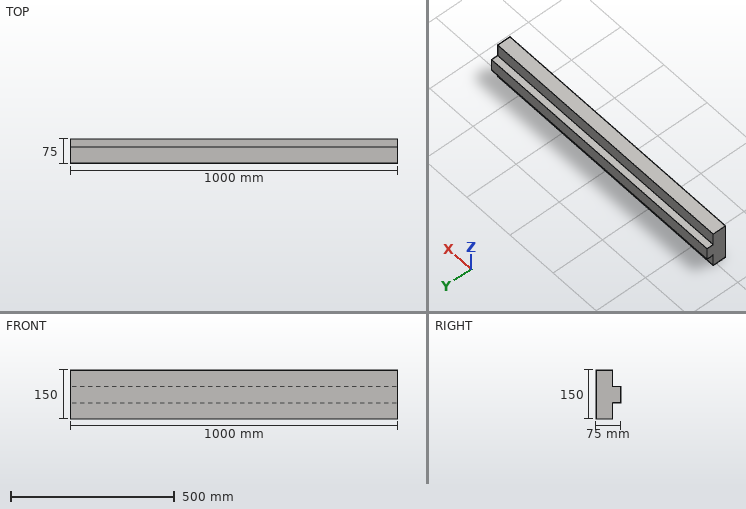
import cadquery as cq

length = 1000.0
plate_height = 150.0
plate_thickness = 50.0
tongue_height = 50.0
tongue_depth = 25.0

plate = cq.Workplane("XY").box(length, plate_thickness, plate_height, centered=(True, False, True))

tongue = (
    cq.Workplane("XY")
    .box(length, tongue_depth, tongue_height, centered=(True, False, True))
    .translate((0, plate_thickness, 0))
)

result = plate.union(tongue)